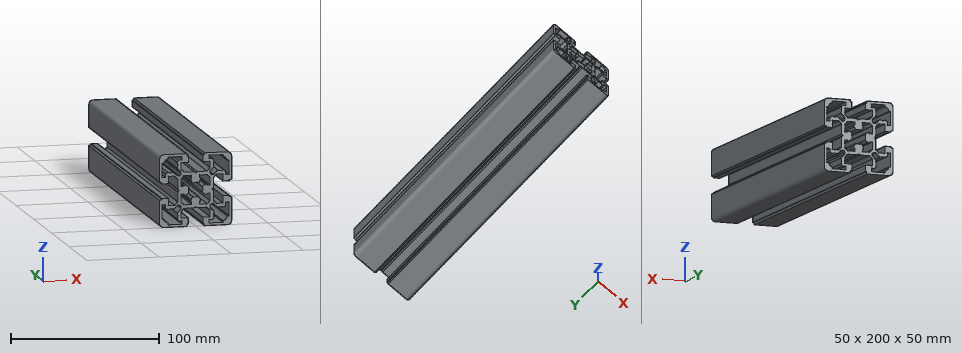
import cadquery as cq
import math

LENGTH = 200.0
SIZE = 50.0
HALF = SIZE / 2
CORNER_RADIUS = 3.0

SLOT_HALF_OPENING = 5.0
LIP_DEPTH = 6.0
LIP_STEP_WIDTH = 0.5
LIP_STEP_FLARE = 0.5
LIP_STEP_DEPTH = 1.5
SLOT_HALF_WIDTH = 10.0
SLOT_DEPTH = 12.5
SLOT_BEVEL = 2.2
GROOVE_HALF_WIDTH = 1.0
GROOVE_DEPTH = 0.8

SCREW_RADIUS = 5.0
CHANNEL_OFFSET = 17.5

OUTER_WALL = 1.8
LIP_WIDTH = 4.5
SHELF_WALL = 1.8
SHELF_BEVEL = 1.0
RIB_HALF_HEIGHT = 2.0
PAD_EDGE = 19.0
CHAMBER_TIP_BEVEL = 1.0
CHAMBER_TIP_HEIGHT = 2.5

CORE_HALF = 10.0
CORE_BEVEL = 2.0
NECK_HALF_WIDTH = 2.8
BOSS_HALF_WIDTH = 3.5
BOSS_SHOULDER = 8.2
BOSS_CHEEK = 6.5
BOSS_TIP_HALF_WIDTH = 2.0

SLOT_FLOOR = HALF - SLOT_DEPTH
LIP_BOTTOM = HALF - LIP_DEPTH


def section():
    """Sketch plane at one end face, facing along the extrusion."""
    return cq.Workplane("XZ", origin=(0, LENGTH / 2, 0))


def mirrored_prism(half_points):
    """Full-length prism of an outline given for x >= 0 and mirrored across x = 0."""
    other_half = [(-x, z) for x, z in reversed(half_points) if x > 0]
    return section().polyline(half_points + other_half).close().extrude(LENGTH)


def four_sides(body):
    """Union of a body with its quarter-turn copies about the Y axis."""
    copies = body
    for turn in range(1, 4):
        copies = copies.union(body.rotate((0, 0, 0), (0, 1, 0), 90 * turn))
    return copies


def slot():
    """Stepped T-slot with bevelled floor corners and a centring groove."""
    step_half_width = SLOT_HALF_OPENING + LIP_STEP_WIDTH
    step_bottom = HALF - LIP_STEP_DEPTH
    return mirrored_prism([
        (0, SLOT_FLOOR - GROOVE_DEPTH),
        (GROOVE_HALF_WIDTH, SLOT_FLOOR),
        (SLOT_HALF_WIDTH - SLOT_BEVEL, SLOT_FLOOR),
        (SLOT_HALF_WIDTH, SLOT_FLOOR + SLOT_BEVEL),
        (SLOT_HALF_WIDTH, LIP_BOTTOM),
        (SLOT_HALF_OPENING, LIP_BOTTOM),
        (SLOT_HALF_OPENING, step_bottom),
        (step_half_width, step_bottom),
        (step_half_width + LIP_STEP_FLARE, HALF),
    ])


def chamber():
    """Corner hollow, symmetric about its diagonal, with a screw channel in three arcs."""
    outer = HALF - OUTER_WALL
    lip_back = SLOT_HALF_OPENING + LIP_WIDTH
    shelf = LIP_BOTTOM + SHELF_WALL
    channel_reach = math.sqrt(SCREW_RADIUS**2 - RIB_HALF_HEIGHT**2)
    crest = CHANNEL_OFFSET - channel_reach
    rib_low = CHANNEL_OFFSET - RIB_HALF_HEIGHT
    rib_high = CHANNEL_OFFSET + RIB_HALF_HEIGHT
    recess = CHANNEL_OFFSET - SCREW_RADIUS
    pad_end = CHANNEL_OFFSET + math.sqrt(SCREW_RADIUS**2 - (PAD_EDGE - CHANNEL_OFFSET)**2)
    pad_middle = CHANNEL_OFFSET + SCREW_RADIUS * math.sqrt(0.5)
    web_end = SLOT_HALF_WIDTH + CHAMBER_TIP_HEIGHT
    tip = SLOT_HALF_WIDTH + CHAMBER_TIP_BEVEL
    return (
        section()
        .moveTo(SLOT_HALF_WIDTH, tip)
        .lineTo(SLOT_HALF_WIDTH, web_end)
        .lineTo(crest, rib_low)
        .threePointArc((recess, CHANNEL_OFFSET), (crest, rib_high))
        .lineTo(crest - SHELF_BEVEL, shelf)
        .lineTo(lip_back, shelf)
        .lineTo(lip_back, outer)
        .lineTo(PAD_EDGE, outer)
        .lineTo(PAD_EDGE, pad_end)
        .threePointArc((pad_middle, pad_middle), (pad_end, PAD_EDGE))
        .lineTo(outer, PAD_EDGE)
        .lineTo(outer, lip_back)
        .lineTo(shelf, lip_back)
        .lineTo(shelf, crest - SHELF_BEVEL)
        .lineTo(rib_high, crest)
        .threePointArc((CHANNEL_OFFSET, recess), (rib_low, crest))
        .lineTo(web_end, SLOT_HALF_WIDTH)
        .lineTo(tip, SLOT_HALF_WIDTH)
        .close()
        .extrude(LENGTH)
    )


def core():
    """Central hollow, leaving four bosses that end on the screw channel."""
    square = (
        section().rect(2 * CORE_HALF, 2 * CORE_HALF).extrude(LENGTH)
        .edges("|Y").chamfer(CORE_BEVEL)
    )
    tip_height = math.sqrt(SCREW_RADIUS**2 - BOSS_TIP_HALF_WIDTH**2)
    boss = mirrored_prism([
        (NECK_HALF_WIDTH, CORE_HALF),
        (NECK_HALF_WIDTH, BOSS_SHOULDER),
        (BOSS_HALF_WIDTH, BOSS_SHOULDER),
        (BOSS_HALF_WIDTH, BOSS_CHEEK),
        (BOSS_TIP_HALF_WIDTH, tip_height),
    ])
    screw_channel = section().circle(SCREW_RADIUS).extrude(LENGTH)
    return square.cut(four_sides(boss)).union(screw_channel)


blank = section().rect(SIZE, SIZE).extrude(LENGTH).edges("|Y").fillet(CORNER_RADIUS)
result = blank.cut(four_sides(slot())).cut(four_sides(chamber())).cut(core())